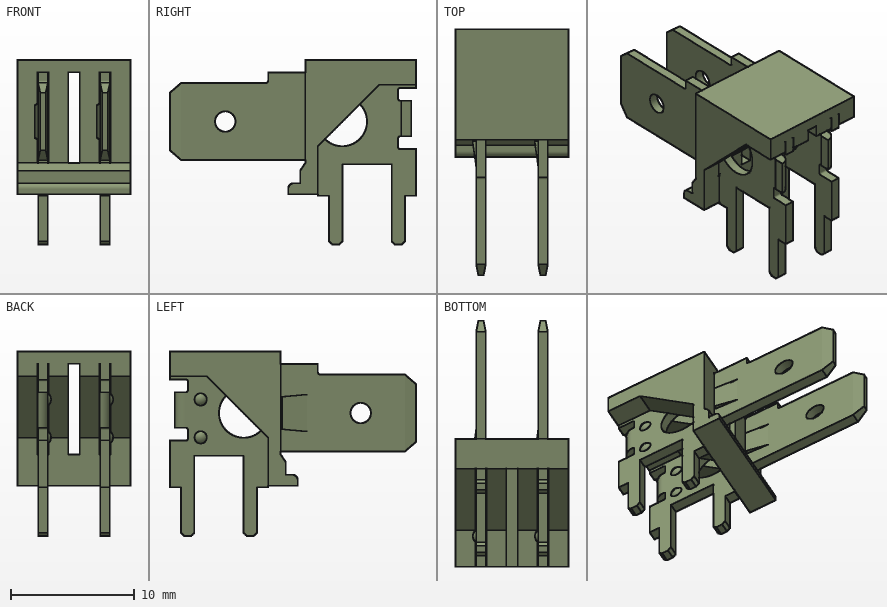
import cadquery as cq


housing_width = 9.2
housing_depth = 9.0
housing_top = 15.0
housing_bottom = 4.08
roof_thickness = 2.0
post_depth = 1.02
brace_run = 5.0
slot_top = 14.0
slot_bottom = 6.65
center_slot_width = 0.92
terminal_slot_width = 0.92

lip_step = 0.42
lip_step_top = 6.02
lip_top = 5.0
lip_reach = 1.4
lip_radius = 0.48

terminal_spacing = 5.05
thickness = 0.8
plate_bottom = 3.95

blade_center_z = 10.0
blade_width = 6.28
blade_reach = 11.0
blade_hole_diameter = 1.65
blade_hole_y = -6.5
shoulder_reach = 3.02
shoulder_radius = 0.2
tip_length = 0.92
tip_corner_height = 0.8
tip_thickness = 0.45

plate_hole_diameter = 4.0
plate_hole_y = 3.0

pin_width = 1.1
pin_pitch = 5.08
pin_chamfer = 0.28
rear_pin_inset = 0.9
pin_gap_top = 6.52

notch_depth = 1.45
notch_height = 1.02
notch_radius = 0.15
notch_pair_center_z = 10.25
tab_height = 2.9
bend_radius = 0.85
tab_end = 8.62

bump_radius = 0.5
bump_height = 0.25
bump_y = 6.5
bump_center_z = 9.55
bump_pitch = 3.08

barb_height = 0.28
barb_start = -0.12
barb_length = 2.0
barb_wide = 3.0
barb_narrow = 2.65


def box(x_range, y_range, z_range):
    """Block given by its lower and upper limits on each axis."""
    size = [high - low for low, high in (x_range, y_range, z_range)]
    corner = (x_range[0], y_range[0], z_range[0])
    return cq.Workplane("XY").box(*size, centered=False).translate(corner)


def cross_hole(diameter, y, z):
    """Cylinder along X, longer than a terminal is thick."""
    return cq.Workplane("YZ").center(y, z).circle(diameter / 2).extrude(thickness, both=True)


def slot(center_x, width):
    """Slot running through the full depth of the housing."""
    return box(
        (center_x - width / 2, center_x + width / 2), (0, housing_depth), (slot_bottom, slot_top)
    )


def make_housing():
    roof_bottom = housing_top - roof_thickness
    profile = (
        cq.Workplane("YZ")
        .moveTo(housing_depth, housing_top)
        .lineTo(housing_depth, roof_bottom)
        .lineTo(post_depth + brace_run, roof_bottom)
        .lineTo(post_depth, roof_bottom - brace_run)
        .lineTo(post_depth, housing_bottom)
        .lineTo(-lip_reach, housing_bottom)
        .lineTo(-lip_reach, lip_top - lip_radius)
        .radiusArc((-lip_reach + lip_radius, lip_top), lip_radius)
        .lineTo(-lip_step, lip_top)
        .lineTo(-lip_step, lip_step_top)
        .lineTo(0, slot_bottom)
        .lineTo(0, housing_top)
        .close()
    )
    housing = profile.extrude(housing_width / 2, both=True)
    return housing.cut(slot(0, center_slot_width))


def make_plate():
    """Flat terminal: blade in front, plate behind, thinned towards the blade tip."""
    blade_top = blade_center_z + blade_width / 2
    blade_bottom = blade_center_z - blade_width / 2
    tip_start = tip_length - blade_reach
    outline = (
        cq.Workplane("YZ")
        .moveTo(housing_depth, slot_top)
        .lineTo(-shoulder_reach, slot_top)
        .lineTo(-shoulder_reach, blade_top + shoulder_radius)
        .radiusArc((-shoulder_reach - shoulder_radius, blade_top), shoulder_radius)
        .lineTo(tip_start, blade_top)
        .lineTo(-blade_reach, blade_top - tip_corner_height)
        .lineTo(-blade_reach, blade_bottom + tip_corner_height)
        .lineTo(tip_start, blade_bottom)
        .lineTo(post_depth, blade_bottom)
        .lineTo(post_depth, plate_bottom)
        .lineTo(housing_depth, plate_bottom)
        .close()
        .extrude(thickness / 2, both=True)
    )
    plan = (
        cq.Workplane("XY")
        .moveTo(-thickness / 2, housing_depth)
        .lineTo(-thickness / 2, tip_start)
        .lineTo(-tip_thickness / 2, -blade_reach)
        .lineTo(tip_thickness / 2, -blade_reach)
        .lineTo(thickness / 2, tip_start)
        .lineTo(thickness / 2, housing_depth)
        .close()
        .extrude(housing_top)
    )
    return outline.intersect(plan)


def make_pin(rear_y):
    """Pin with a chamfered tip, reaching up into the plate."""
    return (
        box((-thickness / 2, thickness / 2), (rear_y - pin_width, rear_y), (0, pin_gap_top))
        .faces("<Z")
        .edges("|X")
        .chamfer(pin_chamfer)
    )


def make_notch(center_z):
    """Notch in the rear edge with rounded inner corners."""
    return (
        box(
            (-thickness, thickness),
            (housing_depth - notch_depth, housing_depth),
            (center_z - notch_height / 2, center_z + notch_height / 2),
        )
        .edges("|X and <Y")
        .fillet(notch_radius)
    )


def make_tab_bend():
    """Quarter-round bend that turns the rear tab towards +X."""
    outer_face = -thickness / 2
    bend_start = tab_end - bend_radius
    return (
        cq.Workplane("XY")
        .workplane(offset=notch_pair_center_z - tab_height / 2)
        .moveTo(outer_face, bend_start)
        .radiusArc((outer_face + bend_radius, tab_end), bend_radius)
        .lineTo(outer_face + bend_radius, bend_start)
        .close()
        .extrude(tab_height)
    )


def make_bump(z):
    """Spherical cap raised on the outer face of the plate."""
    outer_face = -thickness / 2
    sphere_radius = (bump_radius**2 + bump_height**2) / (2 * bump_height)
    return (
        cq.Workplane("XY")
        .moveTo(outer_face, 0)
        .lineTo(outer_face - bump_height, 0)
        .radiusArc((outer_face, bump_radius), sphere_radius)
        .close()
        .revolve(360, (0, 0, 0), (1, 0, 0))
        .translate((0, bump_y, z))
    )


def make_barb():
    """Wedge that rises from the blade towards the housing and narrows as it rises."""
    outer_face = -thickness / 2
    wedge = (
        cq.Workplane("XY")
        .workplane(offset=blade_center_z - barb_wide / 2)
        .moveTo(outer_face, barb_start)
        .lineTo(outer_face - barb_height, barb_start)
        .lineTo(outer_face, barb_start - barb_length)
        .close()
        .extrude(barb_wide)
    )
    side_outline = (
        cq.Workplane("YZ")
        .moveTo(barb_start, blade_center_z + barb_narrow / 2)
        .lineTo(barb_start - barb_length, blade_center_z + barb_wide / 2)
        .lineTo(barb_start - barb_length, blade_center_z - barb_wide / 2)
        .lineTo(barb_start, blade_center_z - barb_narrow / 2)
        .close()
        .extrude(-thickness)
    )
    return wedge.intersect(side_outline)


def make_terminal():
    rear_pin_y = housing_depth - rear_pin_inset
    front_pin_y = rear_pin_y - pin_pitch
    terminal = make_plate()
    pin_gap = box(
        (-thickness, thickness), (front_pin_y, rear_pin_y - pin_width), (plate_bottom, pin_gap_top)
    )
    terminal = terminal.cut(pin_gap)
    for rear_y in (rear_pin_y, front_pin_y):
        terminal = terminal.union(make_pin(rear_y))

    tab_zone = box(
        (-thickness, thickness),
        (tab_end - bend_radius, housing_depth),
        (notch_pair_center_z - tab_height / 2, notch_pair_center_z + tab_height / 2),
    )
    terminal = terminal.cut(tab_zone).union(make_tab_bend())
    for side in (-1, 1):
        terminal = terminal.cut(make_notch(notch_pair_center_z + side * (tab_height + notch_height) / 2))
        terminal = terminal.union(make_bump(bump_center_z + side * bump_pitch / 2))

    terminal = terminal.cut(cross_hole(blade_hole_diameter, blade_hole_y, blade_center_z))
    terminal = terminal.cut(cross_hole(plate_hole_diameter, plate_hole_y, blade_center_z))
    return terminal.union(make_barb())


result = make_housing()
terminal = make_terminal()
for side in (-1, 1):
    terminal_x = side * terminal_spacing / 2
    result = result.cut(slot(terminal_x, terminal_slot_width))
    result = result.union(terminal.translate((terminal_x, 0, 0)))